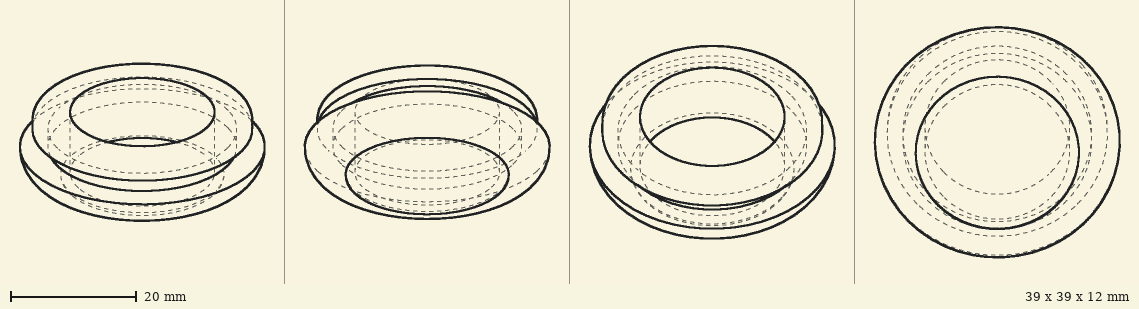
import cadquery as cq

flange_radius = 19.5
lip_radius = 17.5
neck_radius = 15.0
pad_radius = 13.0
bore_radius = 11.5

pad_height = 0.8
flange_height = 5.0
neck_height = 3.2
lip_height = 3.0
floor_thickness = 1.2

lip_round = 1.5
pad_round = 0.78

flange_bottom = pad_height
flange_top = flange_bottom + flange_height
lip_bottom = flange_top + neck_height
total_height = lip_bottom + lip_height


def disc(radius, bottom, height):
    return cq.Workplane("XY").workplane(offset=bottom).circle(radius).extrude(height)


def make_flange():
    """Flange whose side is a quarter round over its full height."""
    flat_radius = flange_radius - flange_height
    diagonal = flange_height * 0.5**0.5
    profile = (
        cq.Workplane("XZ")
        .moveTo(0, flange_bottom)
        .lineTo(flat_radius, flange_bottom)
        .threePointArc(
            (flat_radius + diagonal, flange_top - diagonal),
            (flange_radius, flange_top),
        )
        .lineTo(0, flange_top)
        .close()
    )
    return profile.revolve(360, (0, 0, 0), (0, 1, 0))


pad = disc(pad_radius, 0, pad_height).faces("<Z").edges().fillet(pad_round)
neck = disc(neck_radius, flange_top, neck_height)
lip = disc(lip_radius, lip_bottom, lip_height).faces(">Z").edges().fillet(lip_round)
body = pad.union(make_flange()).union(neck).union(lip)

bore = disc(bore_radius, floor_thickness, total_height - floor_thickness)
result = body.cut(bore)